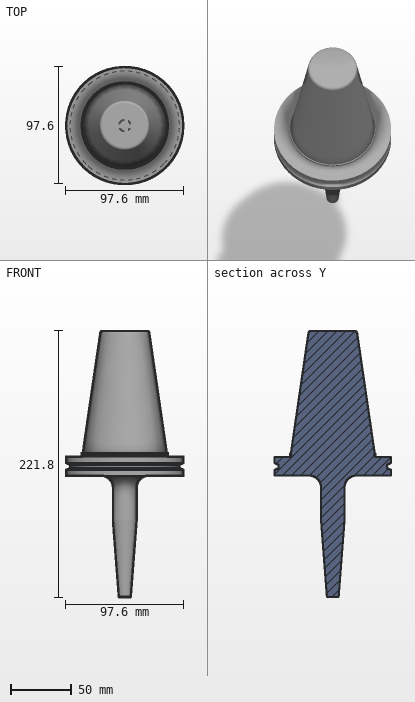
import cadquery as cq

total_height = 221.8
flange_bottom = 101.1
flange_thickness = 16.0
flange_top = flange_bottom + flange_thickness
flange_radius = 48.8

groove_center = 108.9
groove_floor_width = 2.7
groove_mouth_width = 5.8
groove_floor_radius = 45.5

taper_slope = 7 / 48
gauge_height = 120.0
gauge_radius = 35.0
top_fillet = 2.2
collar_radius = 36.0
collar_bottom = 118.5
neck_radius = 34.5
neck_bottom = 117.5

shank_radius = 10.0
shank_fillet = 9.5
nose_cone_top = 64.0
tip_radius = 5.0
tip_chamfer = 0.7


def taper_radius(height):
    """Radius of the taper at a height above the tip."""
    return gauge_radius - (height - gauge_height) * taper_slope


def revolve(profile):
    """Turn a radius-height profile about the Z axis."""
    return profile.close().revolve(360, (0, 0, 0), (0, 1, 0))


def make_nose():
    """Conical tip, cylindrical shank and the concave fillet up to the flange."""
    return revolve(
        cq.Workplane("XZ")
        .moveTo(0, 0)
        .lineTo(tip_radius - tip_chamfer, 0)
        .lineTo(tip_radius, tip_chamfer)
        .lineTo(shank_radius, nose_cone_top)
        .lineTo(shank_radius, flange_bottom - shank_fillet)
        .radiusArc((shank_radius + shank_fillet, flange_bottom), shank_fillet)
        .lineTo(0, flange_bottom)
    )


def make_flange():
    """Disc with a trapezoidal groove around its rim."""
    half_floor = groove_floor_width / 2
    half_mouth = groove_mouth_width / 2
    return revolve(
        cq.Workplane("XZ")
        .moveTo(0, flange_bottom)
        .lineTo(flange_radius, flange_bottom)
        .lineTo(flange_radius, groove_center - half_mouth)
        .lineTo(groove_floor_radius, groove_center - half_floor)
        .lineTo(groove_floor_radius, groove_center + half_floor)
        .lineTo(flange_radius, groove_center + half_mouth)
        .lineTo(flange_radius, flange_top)
        .lineTo(0, flange_top)
    )


def make_taper():
    """Flared neck, collar and long taper with a rounded top edge."""
    taper = revolve(
        cq.Workplane("XZ")
        .moveTo(0, flange_top)
        .lineTo(collar_radius, flange_top)
        .lineTo(neck_radius, neck_bottom)
        .lineTo(neck_radius, collar_bottom)
        .lineTo(collar_radius, collar_bottom)
        .lineTo(collar_radius, gauge_height)
        .lineTo(gauge_radius, gauge_height)
        .lineTo(taper_radius(total_height), total_height)
        .lineTo(0, total_height)
    )
    return taper.faces(">Z").edges().fillet(top_fillet)


result = make_nose().union(make_flange()).union(make_taper())